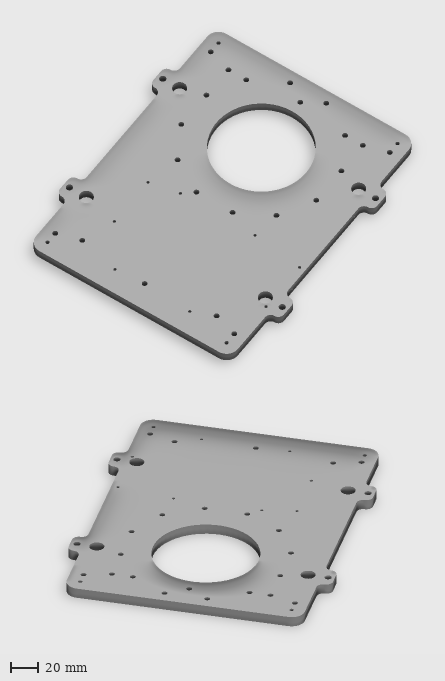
import cadquery as cq

length = 240.0
body_width = 180.0
overall_width = 200.0
thickness = 8.0

ear_y = length / 4
ear_overhang = (overall_width - body_width) / 2
ear_width = 2 * ear_overhang
ear_radius = ear_overhang / 2
corner_radius = ear_overhang
ear_hole_x = overall_width / 2 - ear_radius
ear_hole_diameter = 5.3

opening_y = 50.0
opening_diameter = 80.0
bolt_circle_radius = 62.5
bolt_count = 12
bolt_hole_diameter = 4.3

column_x = 80.0
guide_hole_diameter = 11.0
screw_y = 100.0
inner_screw_x = 60.0
inner_screw_y = 94.0
screw_hole_diameter = 4.3
dowel_y = 110.0
dowel_hole_diameter = 3.0

small_hole_diameter = 2.5
tall_pattern_center = (8.2, -60.0)
tall_pattern_spacing = (66.7, 84.0)
wide_pattern_center = (17.3, -45.0)
wide_pattern_spacing = (135.4, 43.2)

side_hole_y = 40.0
side_hole_diameter = 2.5
side_hole_depth = 10.0


def mirrored(x, y):
    """Four points mirrored about both centre planes."""
    return [(sx * x, sy * y) for sx in (-1, 1) for sy in (-1, 1)]


def make_body():
    body = cq.Workplane("XY").rect(body_width, length).extrude(thickness)
    return body.edges("|Z").fillet(corner_radius)


def make_ear(side, y):
    """One ear with rounded outer corners that flares into the plate edge."""
    edge = side * body_width / 2
    middle = edge + side * ear_radius
    tip = side * overall_width / 2
    half = ear_width / 2
    flat_half = half - ear_radius
    flare_half = half + ear_radius
    outline = (
        cq.Workplane("XY")
        .moveTo(edge, y - flare_half)
        .radiusArc((middle, y - half), side * ear_radius)
        .radiusArc((tip, y - flat_half), -side * ear_radius)
        .lineTo(tip, y + flat_half)
        .radiusArc((middle, y + half), -side * ear_radius)
        .radiusArc((edge, y + flare_half), side * ear_radius)
        .lineTo(0, y + flare_half)
        .lineTo(0, y - flare_half)
        .close()
    )
    return outline.extrude(thickness)


def drill(plate, points, diameter):
    """Cut vertical through holes at the given points."""
    holes = cq.Workplane("XY").pushPoints(points).circle(diameter / 2).extrude(thickness)
    return plate.cut(holes)


def drill_pattern(plate, center, spacing):
    """Cut small holes at the corners of a rectangle."""
    corners = mirrored(spacing[0] / 2, spacing[1] / 2)
    points = [(center[0] + x, center[1] + y) for x, y in corners]
    return drill(plate, points, small_hole_diameter)


def drill_bolt_circle(plate):
    """Cut evenly spaced holes, with the first half a step from the X axis."""
    step = 360 / bolt_count
    holes = (
        cq.Workplane("XY")
        .center(0, opening_y)
        .polarArray(bolt_circle_radius, step / 2, 360, bolt_count)
        .circle(bolt_hole_diameter / 2)
        .extrude(thickness)
    )
    return plate.cut(holes)


def drill_sides(plate):
    """Cut horizontal blind holes at mid-thickness in both long side faces."""
    for x, y in mirrored(body_width / 2, side_hole_y):
        inward = cq.Vector(-x, 0, 0)
        mouth = cq.Vector(x, y, thickness / 2)
        hole = cq.Solid.makeCylinder(side_hole_diameter / 2, side_hole_depth, mouth, inward)
        plate = plate.cut(cq.Workplane(obj=hole))
    return plate


plate = make_body()
for ear_side in (-1, 1):
    for ear_center_y in (-ear_y, ear_y):
        plate = plate.union(make_ear(ear_side, ear_center_y))

plate = drill(plate, [(0, opening_y)], opening_diameter)
plate = drill_bolt_circle(plate)

screw_points = mirrored(column_x, screw_y) + mirrored(inner_screw_x, inner_screw_y)
screw_points += [(0, -screw_y), (0, screw_y)]
plate = drill(plate, screw_points, screw_hole_diameter)
plate = drill(plate, mirrored(column_x, dowel_y), dowel_hole_diameter)
plate = drill(plate, mirrored(column_x, ear_y), guide_hole_diameter)
plate = drill(plate, mirrored(ear_hole_x, ear_y), ear_hole_diameter)

plate = drill_pattern(plate, tall_pattern_center, tall_pattern_spacing)
plate = drill_pattern(plate, wide_pattern_center, wide_pattern_spacing)
plate = drill_sides(plate)

result = plate